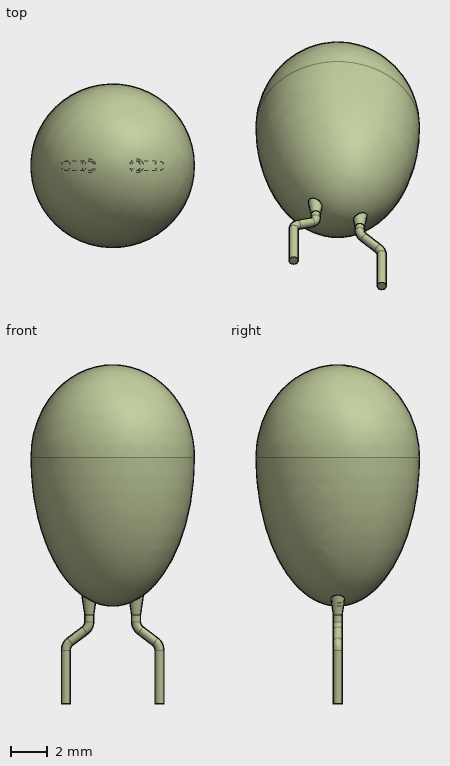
import cadquery as cq
import math

total_height = 18.41

bead_diameter = 8.9
bead_radius = bead_diameter / 2
bead_bottom_z = 5.3
bead_widest_z = 13.38
bead_top_rise = total_height - bead_widest_z
bead_bottom_drop = bead_widest_z - bead_bottom_z

lead_diameter = 0.5
lead_radius = lead_diameter / 2
tip_offset = 2.54
root_offset = tip_offset / 2
lead_top_z = 4.82
upper_bend_z = 4.45
lower_bend_z = 2.9
bend_radius = 0.59

collar_top_radius = 0.42
collar_top_z = 6.0


def bead_arc(rise, start_angle):
    """Quarter-ellipse of the bead profile; angles run from the upward long axis toward +X."""
    return cq.Edge.makeEllipse(
        rise,
        bead_radius,
        cq.Vector(0, 0, bead_widest_z),
        cq.Vector(0, 1, 0),
        cq.Vector(0, 0, 1),
        start_angle,
        start_angle + 90,
    )


def make_bead():
    """Egg with its blunt end up, smooth where the two half-ellipses meet."""
    axis_line = cq.Edge.makeLine(cq.Vector(0, 0, bead_bottom_z), cq.Vector(0, 0, total_height))
    profile = cq.Wire.assembleEdges([axis_line, bead_arc(bead_top_rise, 0), bead_arc(bead_bottom_drop, 90)])
    bead = cq.Solid.revolve(profile, [], 360, cq.Vector(0, 0, 0), cq.Vector(0, 0, 1))
    return cq.Workplane(obj=bead)


def make_lead(side):
    """Round wire with an outward S-bend; side is -1 or +1 along X."""
    centers_x = tip_offset - root_offset - 2 * bend_radius
    centers_z = upper_bend_z - lower_bend_z
    centers_gap = math.hypot(centers_x, centers_z)
    bend_angle = math.asin(2 * bend_radius / centers_gap) + math.atan2(centers_x, centers_z)

    def bend_offset(angle):
        """Sideways and vertical travel along a bend after turning through an angle."""
        return bend_radius * (1 - math.cos(angle)), bend_radius * math.sin(angle)

    def upper_point(angle):
        sideways, vertical = bend_offset(angle)
        return side * (root_offset + sideways), upper_bend_z - vertical

    def lower_point(angle):
        sideways, vertical = bend_offset(angle)
        return side * (tip_offset - sideways), lower_bend_z + vertical

    path = (
        cq.Workplane("XZ")
        .moveTo(side * tip_offset, 0)
        .lineTo(*lower_point(0))
        .threePointArc(lower_point(bend_angle / 2), lower_point(bend_angle))
        .lineTo(*upper_point(bend_angle))
        .threePointArc(upper_point(bend_angle / 2), upper_point(0))
        .lineTo(side * root_offset, lead_top_z)
    )
    return cq.Workplane("XY").center(side * tip_offset, 0).circle(lead_radius).sweep(path)


def make_collar(side, bead):
    """Cone widening from the lead end up to the bead, trimmed to the bead surface."""
    cone = cq.Solid.makeCone(
        lead_radius,
        collar_top_radius,
        collar_top_z - lead_top_z,
        cq.Vector(side * root_offset, 0, lead_top_z),
    )
    return cq.Workplane(obj=cone).cut(bead)


bead = make_bead()
sides = (-1, 1)
leads = [make_lead(side) for side in sides]
collars = [make_collar(side, bead) for side in sides]

result = cq.Compound.makeCompound(
    [
        bead.val(),
        *[lead.val() for lead in leads],
        *[collar.val() for collar in collars],
    ]
)